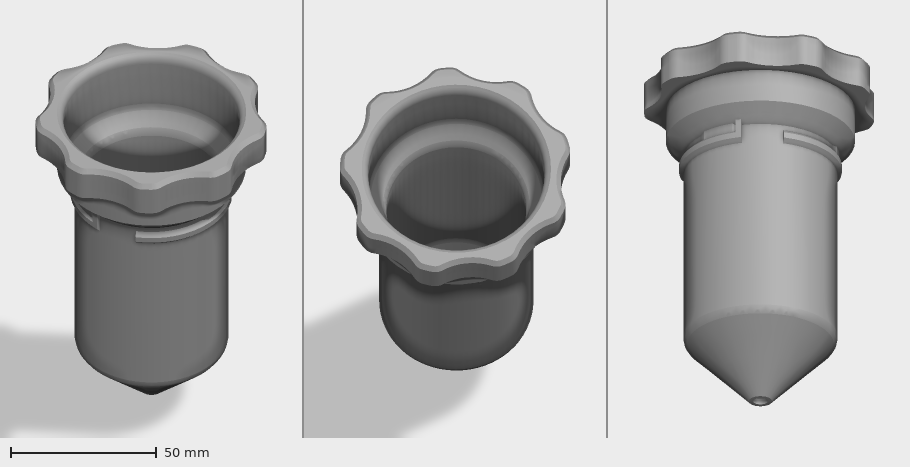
import cadquery as cq
import math


total_length = 122.63

lobe_count = 9
lobe_radius = 40.0
lobe_corner_radius = 5.0
scallop_radius = 20.0
scallop_center_radius = 56.0
first_lobe_angle = 90.0
flange_height = 12.0
flange_chamfer = 1.5

collar_radius = 32.5
collar_bottom = 23.7
tube_radius = 26.5
tip_radius = 4.0
tip_edge_fillet = 4.0
shoulder_bottom = collar_bottom + collar_radius - tube_radius
tube_bottom = total_length - (tube_radius - tip_radius)

wall = 2.5
collar_bore_radius = 30.3
tube_bore_radius = tube_radius - wall
outlet_radius = 2.5
collar_bore_bottom = collar_bottom + collar_radius - wall * math.sqrt(2) - collar_bore_radius
shoulder_bore_bottom = collar_bore_bottom + collar_bore_radius - tube_bore_radius
inner_tip_bottom = total_length + tip_radius - wall * math.sqrt(2) - outlet_radius
tube_bore_bottom = inner_tip_bottom - (tube_bore_radius - outlet_radius)
collar_bore_fillet = 3.0
tube_bore_fillet = 4.0
tip_bore_fillet = 2.5
mouth_slope = 38.0
mouth_round_radius = 3.5

rib_count = 3
first_rib_start = 200.8
rib_span = 89.4
rib_radius = 28.0
rib_top = 31.5
rib_bottom = 36.5
rib_chamfer = rib_radius - tube_radius
root_radius = tube_radius - 1.0
stop_span = math.degrees(2.0 / rib_radius)
stop_top = collar_bottom + 2.0
pad_radius = 27.2
pad_top = shoulder_bottom - 1.0
pad_bottom = rib_top + rib_chamfer
pad_ramp_start = 51.9
pad_flat_start = 57.9
pad_flat_end = 82.3
pad_ramp_end = 85.0


def polar(radius, angle):
    """Point in the XY plane from a radius and an angle in degrees."""
    return (radius * math.cos(math.radians(angle)), radius * math.sin(math.radians(angle)))


def side_angle(adjacent_a, adjacent_b, opposite):
    """Angle in degrees between two sides of a triangle, from its three side lengths."""
    cosine = (adjacent_a**2 + adjacent_b**2 - opposite**2) / (2 * adjacent_a * adjacent_b)
    return math.degrees(math.acos(cosine))


def revolved(profile):
    """Full turn about Z of a profile drawn with radius and height."""
    return profile.close().revolve(360, (0, 0, 0), (0, 1, 0))


def round_circle(solid, depth, fillet_radius):
    """Fillet the circular edge at a given depth on a turned solid."""
    nearest = cq.selectors.NearestToPointSelector((0, 0, -depth))
    return solid.edges("%CIRCLE").edges(nearest).fillet(fillet_radius)


def make_flange():
    """Lobed plate: lobe arcs joined to concave scallops by tangent corner arcs."""
    lobe_pitch = 360 / lobe_count
    corner_center_radius = lobe_radius - lobe_corner_radius
    corner_offset = lobe_pitch / 2 - side_angle(
        scallop_center_radius, corner_center_radius, scallop_radius + lobe_corner_radius
    )

    def corner_points(lobe_angle, side):
        """Lobe-side end, middle and scallop-side end of one corner arc."""
        corner_angle = lobe_angle + side * corner_offset
        center = polar(corner_center_radius, corner_angle)
        scallop_center = polar(scallop_center_radius, lobe_angle + side * lobe_pitch / 2)
        inward_angle = math.degrees(math.atan2(scallop_center[1] - center[1], scallop_center[0] - center[0]))
        turn = (inward_angle - corner_angle + 180) % 360 - 180
        points = []
        for fraction in (0, 0.5, 1):
            offset = polar(lobe_corner_radius, corner_angle + fraction * turn)
            points.append((center[0] + offset[0], center[1] + offset[1]))
        return points

    outline = cq.Workplane("XY").moveTo(*corner_points(first_lobe_angle, -1)[2])
    for index in range(lobe_count):
        lobe_angle = first_lobe_angle + index * lobe_pitch
        before = corner_points(lobe_angle, -1)
        after = corner_points(lobe_angle, 1)
        next_start = corner_points(lobe_angle + lobe_pitch, -1)[2]
        valley = polar(scallop_center_radius - scallop_radius, lobe_angle + lobe_pitch / 2)
        outline = outline.threePointArc(before[1], before[0])
        outline = outline.threePointArc(polar(lobe_radius, lobe_angle), after[0])
        outline = outline.threePointArc(after[1], after[2])
        outline = outline.threePointArc(valley, next_start)
    plate = outline.close().extrude(-flange_height)
    return plate.faces(">Z").edges().chamfer(flange_chamfer)


def make_shell():
    """Solid collar, shoulder, tube and tip."""
    profile = (
        cq.Workplane("YZ")
        .lineTo(collar_radius, 0)
        .lineTo(collar_radius, -collar_bottom)
        .lineTo(tube_radius, -shoulder_bottom)
        .lineTo(tube_radius, -tube_bottom)
        .lineTo(tip_radius, -total_length)
        .lineTo(0, -total_length)
    )
    return round_circle(revolved(profile), tube_bottom, tip_edge_fillet)


def make_cavity():
    """Stepped bore down to the outlet, with a rounded, dished mouth."""
    slope = math.radians(mouth_slope)
    round_start_radius = collar_bore_radius + mouth_round_radius * (1 - math.sin(slope))
    round_start_depth = (collar_radius - round_start_radius) * math.tan(slope)
    round_end_depth = round_start_depth + mouth_round_radius * math.cos(slope)
    mid_angle = math.radians(mouth_slope + 90) / 2
    round_middle = (
        collar_bore_radius + mouth_round_radius * (1 - math.sin(mid_angle)),
        -round_end_depth + mouth_round_radius * math.cos(mid_angle),
    )
    profile = (
        cq.Workplane("YZ")
        .lineTo(collar_radius, 0)
        .lineTo(round_start_radius, -round_start_depth)
        .threePointArc(round_middle, (collar_bore_radius, -round_end_depth))
        .lineTo(collar_bore_radius, -collar_bore_bottom)
        .lineTo(tube_bore_radius, -shoulder_bore_bottom)
        .lineTo(tube_bore_radius, -tube_bore_bottom)
        .lineTo(outlet_radius, -inner_tip_bottom)
        .lineTo(outlet_radius, -total_length)
        .lineTo(0, -total_length)
    )
    cavity = revolved(profile)
    cavity = round_circle(cavity, collar_bore_bottom, collar_bore_fillet)
    cavity = round_circle(cavity, shoulder_bore_bottom, tube_bore_fillet)
    cavity = round_circle(cavity, tube_bore_bottom, tip_bore_fillet)
    return cavity


def ring_sector(outer_radius, start, end, top, bottom):
    """Piece of a ring around the tube, rooted in its wall."""
    middle = (start + end) / 2
    return (
        cq.Workplane("XY", origin=(0, 0, -bottom))
        .moveTo(*polar(root_radius, start))
        .lineTo(*polar(outer_radius, start))
        .threePointArc(polar(outer_radius, middle), polar(outer_radius, end))
        .lineTo(*polar(root_radius, end))
        .threePointArc(polar(root_radius, middle), polar(root_radius, start))
        .close()
        .extrude(bottom - top)
    )


def outer_arc_edge(angle, depth):
    """Selector for the outer curved edge of a rib at a given depth."""
    return cq.selectors.NearestToPointSelector((*polar(rib_radius, angle), -depth))


def make_bar():
    """Curved bar, bevelled above and below."""
    middle = rib_span / 2
    bar = ring_sector(rib_radius, 0, rib_span, rib_top, rib_bottom)
    bevelled_edges = outer_arc_edge(middle, rib_top) + outer_arc_edge(middle, rib_bottom)
    return bar.edges(bevelled_edges).chamfer(rib_chamfer)


def make_stop():
    """Upright block at the closed end of the bar, reaching up into the shoulder."""
    start = rib_span - stop_span
    stop = ring_sector(rib_radius, start, rib_span, stop_top, rib_bottom)
    return stop.edges(outer_arc_edge(rib_span - stop_span / 2, rib_bottom)).chamfer(rib_chamfer)


def make_pad():
    """Low pad above the bar with a ramp at each end."""
    pad_middle = (pad_flat_start + pad_flat_end) / 2
    return (
        cq.Workplane("XY", origin=(0, 0, -pad_bottom))
        .moveTo(*polar(root_radius, pad_ramp_start))
        .lineTo(*polar(tube_radius, pad_ramp_start))
        .lineTo(*polar(pad_radius, pad_flat_start))
        .threePointArc(polar(pad_radius, pad_middle), polar(pad_radius, pad_flat_end))
        .lineTo(*polar(tube_radius, pad_ramp_end))
        .lineTo(*polar(root_radius, pad_ramp_end))
        .threePointArc(polar(root_radius, pad_middle), polar(root_radius, pad_ramp_start))
        .close()
        .extrude(pad_bottom - pad_top)
    )


body = make_shell().union(make_flange())
rib = make_bar().union(make_stop()).union(make_pad())
for index in range(rib_count):
    rib_angle = first_rib_start + index * 360 / rib_count
    body = body.union(rib.rotate((0, 0, 0), (0, 0, 1), rib_angle))
result = body.cut(make_cavity())